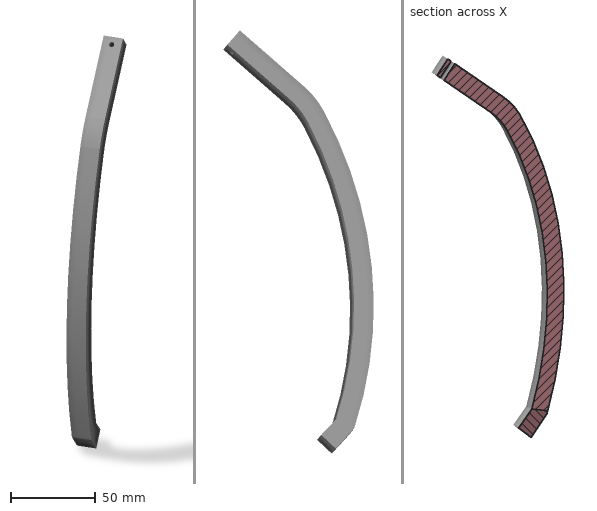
import cadquery as cq
import math

overall_depth = 88.9
overall_height = 253.9

bar_size = 12.0

outer_radius = 246.2
inner_radius = outer_radius - bar_size
center_y = outer_radius
center_z = 88.5
curve_bottom_angle = 17.5

arm_slope = 39.8
bend_radius = 48.2

hole_diameter = 3.0
hole_setback = 4.8

foot_slope = 48.0
foot_knee_length = 1.8


def direction(angle):
    """Unit (Y, Z) vector pointing rearward and upward by the angle in degrees."""
    return math.cos(math.radians(angle)), math.sin(math.radians(angle))


def move(point, heading, distance):
    return point[0] + heading[0] * distance, point[1] + heading[1] * distance


def curve_point(radius, angle):
    """Point on the main curve, at an angle in degrees above its center."""
    across, up = direction(angle)
    return center_y - radius * across, center_z + radius * up


def curve_angle(radius, point):
    return math.degrees(math.atan2(point[1] - center_z, center_y - point[0]))


def meet_curve(start, heading, radius):
    """First point where a ray meets the circle of the main curve."""
    offset_y = start[0] - center_y
    offset_z = start[1] - center_z
    half_b = offset_y * heading[0] + offset_z * heading[1]
    excess = offset_y ** 2 + offset_z ** 2 - radius ** 2
    root = math.sqrt(half_b ** 2 - excess)
    nearest = min((-half_b - root, -half_b + root), key=abs)
    return move(start, heading, nearest)


def extrude_bar(profile):
    return profile.close().extrude(bar_size / 2, both=True)


arm_down = direction(arm_slope + 180)
arm_inward = direction(arm_slope - 90)
arm_front_tip = (overall_depth - bar_size * arm_inward[0], overall_height)
arm_rear_tip = move(arm_front_tip, arm_inward, bar_size)

seam_front = curve_point(outer_radius, -curve_bottom_angle)
seam_rear = curve_point(inner_radius, -curve_bottom_angle)


def make_bar():
    front_corner = meet_curve(arm_front_tip, arm_down, outer_radius)
    rear_corner = meet_curve(arm_rear_tip, arm_down, inner_radius)
    front_mid_angle = (curve_angle(outer_radius, front_corner) - curve_bottom_angle) / 2
    rear_mid_angle = (curve_angle(inner_radius, rear_corner) - curve_bottom_angle) / 2
    bar = extrude_bar(
        cq.Workplane("YZ")
        .moveTo(*arm_front_tip)
        .lineTo(*front_corner)
        .threePointArc(curve_point(outer_radius, front_mid_angle), seam_front)
        .lineTo(*seam_rear)
        .threePointArc(curve_point(inner_radius, rear_mid_angle), rear_corner)
        .lineTo(*arm_rear_tip)
    )
    for corner in (front_corner, rear_corner):
        edge = bar.edges(cq.selectors.NearestToPointSelector((0, *corner)))
        bar = edge.fillet(bend_radius)

    hole_start = move(arm_front_tip, arm_down, hole_setback)
    hole = cq.Solid.makeCylinder(
        hole_diameter / 2, bar_size, cq.Vector(0, *hole_start), cq.Vector(0, *arm_inward)
    )
    return bar.cut(cq.Workplane(obj=hole))


def make_foot():
    foot_down = direction(-foot_slope)
    foot_forward = direction(-foot_slope - 90)
    foot_length = (seam_rear[1] + foot_forward[1] * bar_size) / -foot_down[1]
    end_rear = move(seam_rear, foot_down, foot_length)
    end_front = move(end_rear, foot_forward, bar_size)
    curve_tangent = direction(curve_bottom_angle - 90)
    front_knee = move(seam_front, curve_tangent, foot_knee_length)
    return extrude_bar(
        cq.Workplane("YZ").polyline([seam_rear, seam_front, front_knee, end_front, end_rear])
    )


bar = make_bar()
foot = make_foot()

result = cq.Compound.makeCompound([bar.val(), foot.val()])